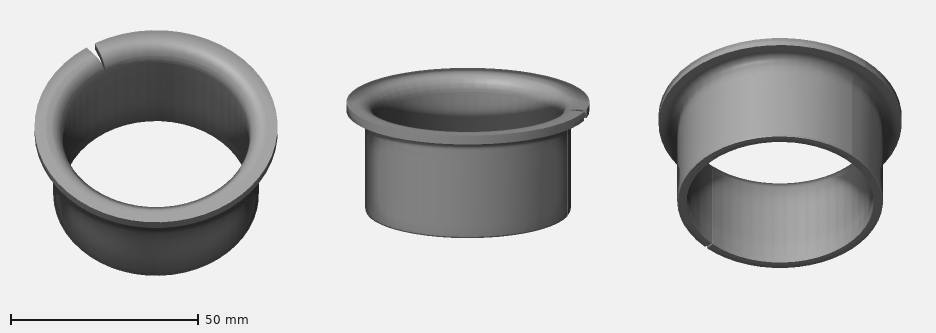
import cadquery as cq
import math

flange_radius = 32.5
bore_radius = 25.0
wall = 2.5
height = 30.0
inner_bend_radius = 4.5
outer_bend_radius = inner_bend_radius - wall
base_chamfer = 0.4
base_chamfer_depth = 0.2
sleeve_radius = bore_radius + wall

slit_direction = 182.0
slit_width_at_bore = 0.2
slit_half_angle = 9.3
slit_overrun = 1.3


def bushing_ring():
    """Revolve the bent wall section into a full ring."""
    bend_x = bore_radius + inner_bend_radius
    bend_z = height - inner_bend_radius
    diagonal = math.sqrt(0.5)

    def bend_middle(radius):
        return bend_x - radius * diagonal, bend_z + radius * diagonal

    section = (
        cq.Workplane("XZ")
        .moveTo(bore_radius, 0)
        .lineTo(sleeve_radius - base_chamfer_depth, 0)
        .lineTo(sleeve_radius, base_chamfer)
        .lineTo(sleeve_radius, bend_z)
        .threePointArc(bend_middle(outer_bend_radius), (bend_x, height - wall))
        .lineTo(flange_radius, height - wall)
        .lineTo(flange_radius, height)
        .lineTo(bend_x, height)
        .threePointArc(bend_middle(inner_bend_radius), (bore_radius, bend_z))
        .close()
    )
    return section.revolve(360, (0, 0, 0), (0, 1, 0))


def slit_cutter():
    """Wedge that widens outward from the bore."""
    start = bore_radius - slit_overrun
    end = flange_radius + slit_overrun
    bore_half = slit_width_at_bore / 2
    end_half = bore_half + (end - bore_radius) * math.tan(math.radians(slit_half_angle))
    outline = [
        (start, -bore_half),
        (bore_radius, -bore_half),
        (end, -end_half),
        (end, end_half),
        (bore_radius, bore_half),
        (start, bore_half),
    ]
    wedge = cq.Workplane("XY").polyline(outline).close().extrude(height)
    return wedge.rotate((0, 0, 0), (0, 0, 1), slit_direction)


result = bushing_ring().cut(slit_cutter())